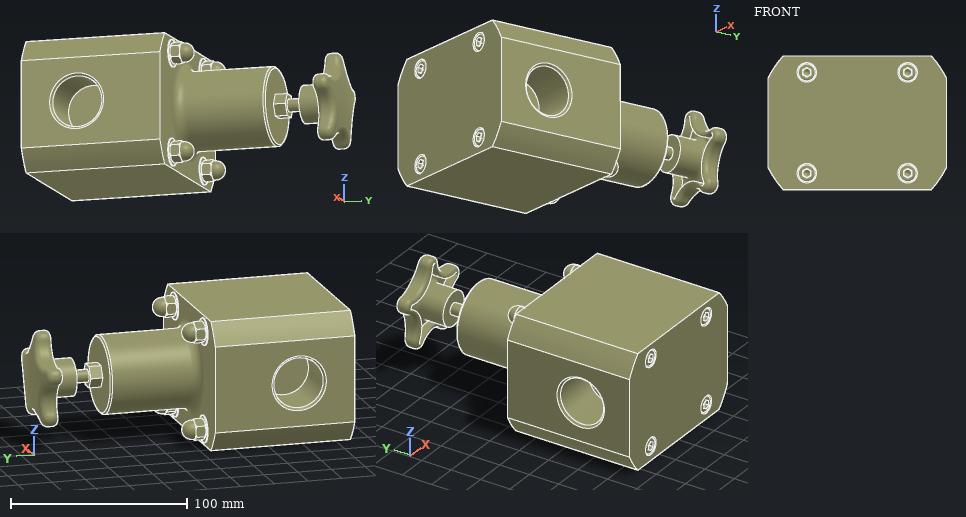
import cadquery as cq
import math


body_width = 101.5
body_height = 76.1
body_length = 82.9
body_corner_radius = 56.7

port_diameter = 29.3
port_chamfer = 1.5
port_depth = 30.2
port_y = 33.0

bolt_spacing = 57.3
bolt_recess_diameter = 11.0
bolt_head_diameter = 9.6
bolt_head_height = 6.0
bolt_head_rounding = 0.9
socket_flats = 4.8
socket_depth = 2.7
socket_cone_diameter = 4.5
socket_cone_depth = 1.2

washer_diameter = 15.8
washer_thickness = 0.5
cap_nut_flats = 11.0
cap_nut_hex_top = 6.4
cap_nut_chamfer = 0.7
cap_nut_collar_top = 7.5

bonnet_diameter = 45.7
bonnet_length = 53.5
bonnet_base_fillet = 6.2
bonnet_top_chamfer = 1.0
bonnet_top = body_length + bonnet_length

lock_nut_flats = 12.6
lock_nut_height = 7.1
spindle_diameter = 7.5

wheel_top = 177.8
wheel_bottom = 165.7
wheel_dome_radius = 113.8
lobe_count = 5
lobe_radius = 5.2
lobe_tip_radius = 28.6
valley_arc_radius = 13.5
wheel_top_fillet = 3.5
wheel_bottom_fillet = 3.0
rim_inner_fillet = 0.4
rim_width = 3.5
wheel_recess_depth = 5.3
hub_diameter = 22.0
hub_bottom = 152.8
hub_fillet = 3.2

HEX_CORNER_RATIO = 2 / math.sqrt(3)


def cross_section(y):
    """Work plane across the valve axis, with local x = X and local y = Z."""
    return cq.Workplane("XZ", origin=(0, y, 0))


def cylinder(diameter, start, end):
    return cross_section(start).circle(diameter / 2).extrude(start - end)


def hexagon(flats, start, end, corners_along_z):
    prism = cross_section(start).polygon(6, flats * HEX_CORNER_RATIO).extrude(start - end)
    turn = 90 if corners_along_z else 0
    return prism.rotate((0, 0, 0), (0, 1, 0), turn)


def at_bolts(shape):
    """Copies of an on-axis shape at the four bolt positions."""
    half = bolt_spacing / 2
    copies = cq.Workplane("XY")
    for x in (-half, half):
        for z in (-half, half):
            copies = copies.add(shape.translate((x, 0, z)))
    return copies.combine()


def make_body():
    block = cross_section(0).rect(body_width, body_height).extrude(-body_length)
    return block.intersect(cylinder(2 * body_corner_radius, 0, body_length))


def make_port():
    """Blind port cutter entering the -X face, with a chamfered mouth."""
    radius = port_diameter / 2
    mouth_radius = radius + port_chamfer
    profile = (
        cq.Workplane("XY", origin=(-body_width / 2, port_y, 0))
        .lineTo(0, mouth_radius)
        .lineTo(port_chamfer, radius)
        .lineTo(port_depth, radius)
        .lineTo(port_depth, 0)
        .close()
    )
    return profile.revolve(360, (0, 0, 0), (1, 0, 0))


def make_bolt_head():
    """Round head flush with the front face, with a hexagon socket."""
    head = cylinder(bolt_head_diameter, 0, bolt_head_height).faces("<Y").edges().fillet(bolt_head_rounding)
    socket = hexagon(socket_flats, 0, socket_depth, corners_along_z=True)
    drill_point = (
        cq.Workplane("XY", origin=(0, socket_depth, 0))
        .lineTo(socket_cone_diameter / 2, 0)
        .lineTo(0, socket_cone_depth)
        .close()
        .revolve(360, (0, 0, 0), (0, 1, 0))
    )
    return head.cut(socket).cut(drill_point)


def make_cap_nut():
    """Washer, hexagon with chamfered corners, and dome, seated on the body's back face."""
    washer = cylinder(washer_diameter, 0, washer_thickness)
    corner_radius = cap_nut_flats * HEX_CORNER_RATIO / 2
    dome_radius = cap_nut_flats / 2
    chamfered_blank = cylinder(2 * corner_radius, washer_thickness, cap_nut_hex_top)
    chamfered_blank = chamfered_blank.faces("<Y or >Y").edges().chamfer(cap_nut_chamfer)
    hexagonal_base = hexagon(cap_nut_flats, washer_thickness, cap_nut_hex_top, corners_along_z=True)
    hexagonal_base = hexagonal_base.intersect(chamfered_blank)
    arc_middle = dome_radius * math.sqrt(0.5)
    dome = (
        cq.Workplane("XY")
        .moveTo(0, washer_thickness)
        .lineTo(dome_radius - cap_nut_chamfer, washer_thickness)
        .lineTo(dome_radius - cap_nut_chamfer, cap_nut_hex_top)
        .lineTo(corner_radius - cap_nut_chamfer, cap_nut_hex_top)
        .lineTo(dome_radius, cap_nut_collar_top)
        .threePointArc((arc_middle, cap_nut_collar_top + arc_middle), (0, cap_nut_collar_top + dome_radius))
        .close()
        .revolve(360, (0, 0, 0), (0, 1, 0))
    )
    return washer.union(hexagonal_base).union(dome).translate((0, body_length, 0))


def make_bonnet():
    """Cylinder flaring into the body through a concave fillet."""
    radius = bonnet_diameter / 2
    flare_radius = radius + bonnet_base_fillet
    flare_top = body_length + bonnet_base_fillet
    arc_inset = bonnet_base_fillet * math.sqrt(0.5)
    return (
        cq.Workplane("XY")
        .moveTo(0, body_length)
        .lineTo(flare_radius, body_length)
        .threePointArc((flare_radius - arc_inset, flare_top - arc_inset), (radius, flare_top))
        .lineTo(radius, bonnet_top - bonnet_top_chamfer)
        .lineTo(radius - bonnet_top_chamfer, bonnet_top)
        .lineTo(0, bonnet_top)
        .close()
        .revolve(360, (0, 0, 0), (0, 1, 0))
    )


def star_outline(plane, inset):
    """Closed handwheel outline, moved inwards by inset; the first lobe points along +Z."""
    half_pitch = math.pi / lobe_count
    lobe_centre = lobe_tip_radius - lobe_radius
    tip_radius = lobe_radius - inset
    valley_radius = valley_arc_radius + inset
    centre_offset = lobe_centre * math.sin(half_pitch)
    arc_gap = math.sqrt((tip_radius + valley_radius) ** 2 - centre_offset ** 2)
    valley_centre = lobe_centre * math.cos(half_pitch) + arc_gap
    tangent_angle = math.atan2(
        valley_centre * math.sin(half_pitch),
        valley_centre * math.cos(half_pitch) - lobe_centre,
    )

    def polar(radius, angle):
        return (radius * math.cos(angle), radius * math.sin(angle))

    def tangent_point(axis, side):
        x, y = polar(lobe_centre, axis)
        dx, dy = polar(tip_radius, axis + side * tangent_angle)
        return (x + dx, y + dy)

    first_axis = math.pi / 2
    outline = plane.moveTo(*tangent_point(first_axis, -1))
    for i in range(lobe_count):
        axis = first_axis + 2 * i * half_pitch
        valley_bottom = polar(valley_centre - valley_radius, axis + half_pitch)
        outline = outline.threePointArc(polar(lobe_centre + tip_radius, axis), tangent_point(axis, 1))
        outline = outline.threePointArc(valley_bottom, tangent_point(axis + 2 * half_pitch, -1))
    return outline.close()


def make_handwheel():
    thickness = wheel_top - wheel_bottom
    dome = cq.Workplane("XY").sphere(wheel_dome_radius).translate((0, wheel_top - wheel_dome_radius, 0))
    wheel = star_outline(cross_section(wheel_bottom), 0).extrude(-thickness).intersect(dome)
    wheel = wheel.faces("%SPHERE").edges().fillet(wheel_top_fillet)
    wheel = wheel.faces("<Y").edges().fillet(wheel_bottom_fillet)
    recess = star_outline(cross_section(wheel_bottom), rim_width).extrude(-wheel_recess_depth)
    hollow_wheel = wheel.cut(recess)
    return hollow_wheel.faces("<Y").edges().fillet(rim_inner_fillet)


def make_hub():
    """Handwheel hub flaring into the floor of the handwheel recess."""
    radius = hub_diameter / 2
    floor = wheel_bottom + wheel_recess_depth
    arc_inset = hub_fillet * (1 - math.sqrt(0.5))
    return (
        cq.Workplane("XY")
        .moveTo(0, hub_bottom)
        .lineTo(radius, hub_bottom)
        .lineTo(radius, floor - hub_fillet)
        .threePointArc((radius + arc_inset, floor - arc_inset), (radius + hub_fillet, floor))
        .lineTo(0, floor)
        .close()
        .revolve(360, (0, 0, 0), (0, 1, 0))
    )


bolt_recess = cylinder(bolt_recess_diameter, 0, bolt_head_height)
port = make_port()
lock_nut = hexagon(lock_nut_flats, bonnet_top, bonnet_top + lock_nut_height, corners_along_z=False)
spindle = cylinder(spindle_diameter, bonnet_top, hub_bottom)

result = (
    make_body()
    .cut(port)
    .cut(port.mirror("YZ"))
    .cut(at_bolts(bolt_recess))
    .union(at_bolts(make_bolt_head()))
    .union(at_bolts(make_cap_nut()))
    .union(make_bonnet())
    .union(lock_nut)
    .union(spindle)
    .union(make_hub())
    .union(make_handwheel())
)